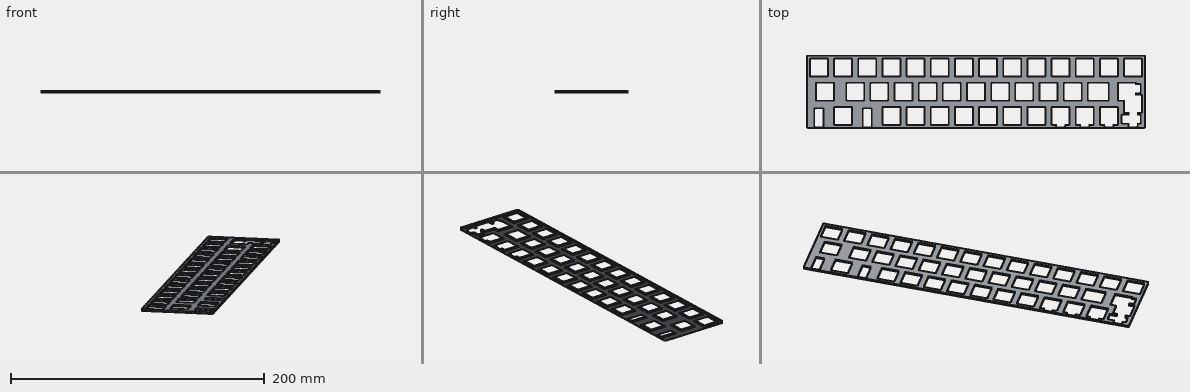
import cadquery as cq

plate_length = 266.7
columns = 14
rows = 3
pitch = plate_length / columns
plate_width = rows * pitch
thickness = 1.5
corner_radius = 1.0
opening_radius = 0.5

web_between_switches = 5.0
switch_size = pitch - web_between_switches

slot_width = switch_size / 2
slot_length = 15.0
slot_edge_margin = 0.5
slot_offset = (pitch - slot_length) / 2 - slot_edge_margin
tall_key_slot_spread = 12.0

top_row = 0.5
middle_row = 1.5
bottom_row = 2.5
top_row_columns = [0.5 + i for i in range(columns)]
middle_row_columns = [1.5 / 2] + list(range(2, 13)) + [12 + 1 / 8, 14 - 1.5 / 2]
bottom_row_columns = [1.5] + [3.5 + i for i in range(10)]
bottom_slot_columns = [0.5, 2.5, 10.5, 11.5, 12.5, 13.5]
tall_key_column = 13.5
tall_key_row = 2


def key_centre(column, row):
    return (column * pitch - plate_length / 2, plate_width / 2 - row * pitch)


def cutter(centres, size_x, size_y):
    """Rectangular through-cutters with rounded corners at the given centres."""
    return (
        cq.Workplane("XY", origin=(0, 0, -thickness))
        .pushPoints(centres)
        .rect(size_x, size_y)
        .extrude(2 * thickness)
        .edges("|Z")
        .fillet(opening_radius)
    )


def switch_centres():
    layout = [
        (top_row, top_row_columns),
        (middle_row, middle_row_columns),
        (bottom_row, bottom_row_columns),
        (tall_key_row, [tall_key_column]),
    ]
    return [key_centre(column, row) for row, row_columns in layout for column in row_columns]


def upright_slot_centres():
    """Slots of the wide keys in the bottom row, running along Y."""
    centres = [key_centre(column, bottom_row) for column in bottom_slot_columns]
    return [(x, y - slot_offset) for x, y in centres]


def sideways_slot_centres():
    """Slots above and below the two-row key, running along X."""
    x, y = key_centre(tall_key_column, tall_key_row)
    return [(x - slot_offset, y + side * tall_key_slot_spread) for side in (-1, 1)]


plate = (
    cq.Workplane("XY")
    .box(plate_length, plate_width, thickness)
    .edges("|Z")
    .fillet(corner_radius)
)

result = plate
for centre in switch_centres():
    result = result.cut(cutter([centre], switch_size, switch_size))
result = result.cut(cutter(upright_slot_centres(), slot_width, slot_length))
result = result.cut(cutter(sideways_slot_centres(), slot_length, slot_width))